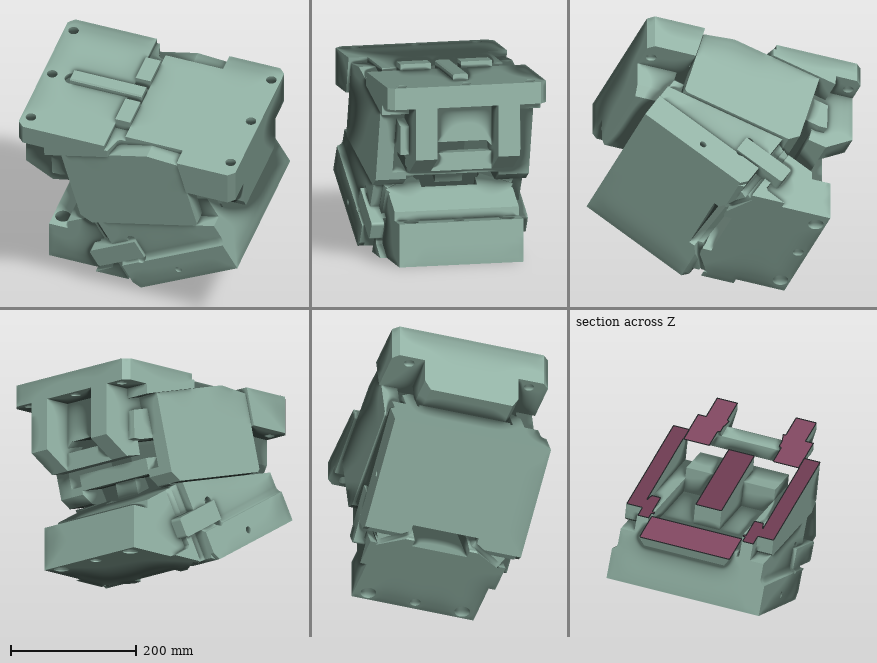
import cadquery as cq
import math

SLIDE_ANGLE = 15.0
SLIDE_ORIGIN = (72.5, 255.5)
DRIVE_ANGLE = 30.0
DRIVE_ORIGIN = (115.5, 107.0)


def tilted_point(origin, angle, along, across):
    """X, Z of a point given in a frame that is tilted about Y."""
    c = math.cos(math.radians(angle))
    s = math.sin(math.radians(angle))
    return (origin[0] + along * c - across * s, origin[1] + along * s + across * c)


def slide(along, across):
    return tilted_point(SLIDE_ORIGIN, SLIDE_ANGLE, along, across)


def drive(along, across):
    return tilted_point(DRIVE_ORIGIN, DRIVE_ANGLE, along, across)


def crossing(drive_along, slide_across):
    """Point that lies at the given drive distance and at the given height across the slide."""
    lean = math.radians(SLIDE_ANGLE)
    base_x, base_z = drive(drive_along, 0)
    base_across = (base_z - SLIDE_ORIGIN[1]) * math.cos(lean) - (base_x - SLIDE_ORIGIN[0]) * math.sin(lean)
    turn = math.radians(DRIVE_ANGLE - SLIDE_ANGLE)
    return drive(drive_along, (slide_across - base_across) / math.cos(turn))


def prism(points, y_from, y_to):
    """X-Z outline extruded from y_from to y_to."""
    plane = cq.Workplane("XZ", origin=(0, y_to, 0))
    return plane.polyline(points).close().extrude(y_to - y_from)


def centred(points, half_width):
    return prism(points, -half_width, half_width)


def both_sides(points, y_inner, y_outer):
    """The same outline on the -Y and +Y sides."""
    return prism(points, y_inner, y_outer).union(prism(points, -y_outer, -y_inner))


def y_cylinder(centre, radius, y_from, y_to):
    plane = cq.Workplane("XZ", origin=(centre[0], y_to, centre[1]))
    return plane.circle(radius).extrude(y_to - y_from)


def incline_plane(start, angle):
    """Workplane across an incline: local x is Y, local y is across the incline."""
    lean = math.radians(angle)
    forward = (math.cos(lean), 0, math.sin(lean))
    return cq.Workplane(cq.Plane(origin=(start[0], 0, start[1]), xDir=(0, 1, 0), normal=forward))


def wedge_section(points, across_from, across_to):
    """Outline of (Y, distance along the drive frame), extruded down the wedge face."""
    x, z = drive(0, across_from)
    lean = math.radians(DRIVE_ANGLE)
    down = (math.sin(lean), 0, -math.cos(lean))
    plane = cq.Plane(origin=(x, 0, z), xDir=(0, 1, 0), normal=down)
    return cq.Workplane(plane).polyline(points).close().extrude(across_from - across_to)


def mirrored(points):
    """Complete a +Y half outline with its mirror image."""
    return points + [(-y, height) for y, height in reversed(points)]


def side_range(side, y_inner, y_outer):
    """Rising Y range on one side of the middle plane."""
    return sorted((side * y_inner, side * y_outer))


HOLDER_LENGTH = 365.0
HALF_WIDTH = 130.0
PLATE_TOP = 299.5
PLATE_BOTTOM = PLATE_TOP - 60.0
NOSE_BOTTOM = PLATE_TOP - 35.0
CORNER_CHAMFER = 10.0
BOLT_DIAMETER = 16.7
FRONT_BOLT_X = 15.2
FRONT_BOLT_Y = 104.8
REAR_BOLT_X = 350.0
REAR_BOLT_Y = 100.0

JAW_INNER = 49.8
JAW_OUTER = 85.0
JAW_HEEL = 181.5
JAW_BACK = 45.7
BAR_TOP = 181.7
JAW_TIP = [(JAW_BACK, 154.0), (75.0, 161.0), (70.2, BAR_TOP)]

LIP_HALF_WIDTH = 99.0
LIP_TOP = -20.5
LIP_BOTTOM = -68.0
LIP_START = -31.2
LIP_FOOT_START = 49.0
LIP_FOOT_END = 62.0
NECK_START = -26.8
RAIL_END = 201.5
CHANNEL_TOP = -46.0
CHANNEL_DEPTH = 74.5
CHANNEL_START = -44.5
CHANNEL_HALF_WIDTH = 54.3
CHANNEL_CHAMFER = 13.5
SLOT_END = 81.8

POCKET_START = 152.5
POCKET_INNER_START = 161.3
POCKET_END = 245.3
POCKET_RADIUS = 7.5

LEG_TOP_X = 297.7
LEG_BOTTOM = 180.5
LEG_HALF_WIDTH = 78.0
LEG_CHAMFER_HEIGHT = 16.7
LEG_CHAMFER_WIDTH = 9.5

GROOVE_START = 147.0
GROOVE_END = 172.5
GROOVE_FLOOR = 290.3
KEY_TOP = 309.2
KEY_CHAMFER = 2.2
CROSS_KEY_INNER = 25.0
CROSS_KEY_OUTER = 75.0
LONG_KEY_START = 49.0
LONG_KEY_END = 170.5
LONG_KEY_HALF_WIDTH = 12.3

CHEEK_INNER = LIP_HALF_WIDTH
CHEEK_OUTER = 125.5
CHEEK_LENGTH = 200.0
CHEEK_BOTTOM = -144.5
CHEEK_PEAK = 150.0
CHEEK_DROP = 17.5
CHEEK_CORNER = 4.5
CHEEK_BEVEL_START = -128.5
CHEEK_BEVEL_END = 15.5
FINGER_LENGTH = 78.0
CORE_HALF_WIDTH = 76.0
CORE_TOP = -97.0
CORE_FRONT_BOTTOM = -122.5
CORE_STEP = 63.0
CORE_REAR_TOP = -139.7
FOOT_TOP = -116.0
FOOT_END = 208.0
HEEL_START = 167.2
HEEL_INNER = 80.0
HEEL_CHAMFER = 12.5
BODY_TOP = -147.0
BODY_HALF_WIDTH = 122.0
BODY_START = 22.3
BODY_END = 217.8
BODY_BOTTOM = -135.0
BODY_BEVEL = [(30.5, BODY_BOTTOM), (BODY_START, -121.5)]
WEAR_STRIP_BOTTOM = -128.2
SHOULDER_TOP = -75.0
SHOULDER_RADIUS = 10.8
SIDE_HOLE = (115.2, -115.0)
SIDE_HOLE_DIAMETER = 11.0
SIDE_HOLE_DEPTH = 29.7
RIB_HALF_WIDTH = 22.3
RIB_TOP = -61.5
RIB_BOTTOM = -163.5
RIB_START = 22.3
RIB_END = 163.5
RIB_RADIUS = 9.3

FOLLOWER_START = -20.0
FOLLOWER_END = 68.5
FOLLOWER_TOP = -46.0
FOLLOWER_BOTTOM = -79.0
FOLLOWER_INNER = 107.5
FOLLOWER_OUTER = 128.2
FOLLOWER_RADIUS = 4.5
RELIEF_ALONG = 61.0
RELIEF_RADIUS = 7.5
RELIEF_OFFSET = 1.5
RELIEF_FLOOR = 110.8

DRIVER_HALF_WIDTH = 102.0
DRIVER_FRONT = 44.5
DRIVER_LEDGE = 70.0
DRIVER_STEP_X = 75.5
DRIVER_STEP_TOP = 84.0
DRIVER_BACK = 204.8
DRIVER_BACK_HEIGHT = 4.0
WEDGE_SLOPE = 30.0
WEDGE_INNER = 49.8
SEAT_HALF_WIDTH = 45.7
SEAT_LEVEL = 12.0
WEAR_PLATE = 10.0
WEAR_PLATE_INSET = 2.5
WEAR_PLATE_BOTTOM = -122.5
CENTRE_CLEARANCE = 48.5
TOP_GAP = 2.0
HOOK_OUTER = 112.5
HOOK_TOP = -80.3
HOOK_START = -6.5
HOOK_END = 5.2
HOOK_FOOT = [(127.0, 0), (155.5, 17.0), (157.5, 22.5)]
HOOK_FOOT_END = 183.0
LEDGE_HOLE_X = 60.2
LEDGE_HOLE_Y = 78.5
LEDGE_BOLT_DIAMETER = 25.0
LEDGE_PIN_DIAMETER = 17.5

WEDGE_TANGENT = math.tan(math.radians(WEDGE_SLOPE))
PLATE_OUT = WEAR_PLATE * math.sin(math.radians(WEDGE_SLOPE))
PLATE_UP = WEAR_PLATE * math.cos(math.radians(WEDGE_SLOPE))


def wedge_point(y, lift):
    """Point of the wedge face at width y, lifted square to the face by a number of wear plates."""
    return (y + lift * PLATE_OUT, (DRIVER_HALF_WIDTH - y) * WEDGE_TANGENT + lift * PLATE_UP)


def holder_plate():
    side = [(0, PLATE_BOTTOM), (HOLDER_LENGTH, PLATE_BOTTOM), (HOLDER_LENGTH, PLATE_TOP), (0, PLATE_TOP)]
    plate = centred(side, HALF_WIDTH).edges("|Z").chamfer(CORNER_CHAMFER)
    nose = [(0, NOSE_BOTTOM), (JAW_BACK, NOSE_BOTTOM), slide(NECK_START, 0), (JAW_BACK, 0), (0, 0)]
    return plate.cut(centred(nose, HALF_WIDTH))


def holder_rail():
    rail = [slide(NECK_START, 0), slide(LIP_START, LIP_TOP), (LIP_FOOT_START, BAR_TOP),
            (LIP_FOOT_END, BAR_TOP), slide(RAIL_END, LIP_BOTTOM), slide(RAIL_END, LIP_TOP),
            slide(SLOT_END, 0)]
    return centred(rail, LIP_HALF_WIDTH)


def channel_cut():
    """Inclined channel along the middle of the rail, open below."""
    half = [(CHANNEL_HALF_WIDTH, CHANNEL_TOP - CHANNEL_DEPTH),
            (CHANNEL_HALF_WIDTH, CHANNEL_TOP - CHANNEL_CHAMFER),
            (CHANNEL_HALF_WIDTH - CHANNEL_CHAMFER, CHANNEL_TOP)]
    plane = incline_plane(slide(CHANNEL_START, 0), SLIDE_ANGLE)
    return plane.polyline(mirrored(half)).close().extrude(RAIL_END - CHANNEL_START)


def holder_jaws():
    """Two jaws below the nose, joined at their tips by a cross bar."""
    jaw = [(0, NOSE_BOTTOM), (0, JAW_HEEL)] + JAW_TIP + [slide(0, CHANNEL_TOP), slide(0, LIP_TOP),
                                                         (JAW_BACK, NOSE_BOTTOM)]
    bar = JAW_TIP + [(JAW_BACK, BAR_TOP)]
    return both_sides(jaw, JAW_INNER, JAW_OUTER).union(centred(bar, JAW_INNER))


def front_wall():
    wall = [(JAW_BACK, NOSE_BOTTOM), (JAW_BACK, BAR_TOP), (LIP_FOOT_END, BAR_TOP), slide(0, LIP_TOP)]
    return centred(wall, JAW_INNER)


def holder_leg():
    lean = (PLATE_BOTTOM - LEG_BOTTOM) * math.tan(math.radians(SLIDE_ANGLE))
    leg = centred([(LEG_TOP_X, PLATE_BOTTOM), (LEG_TOP_X + lean, LEG_BOTTOM),
                   (HOLDER_LENGTH, LEG_BOTTOM), (HOLDER_LENGTH, PLATE_BOTTOM)], LEG_HALF_WIDTH)
    chamfered_half = [(LEG_HALF_WIDTH, PLATE_BOTTOM), (LEG_HALF_WIDTH, LEG_BOTTOM + LEG_CHAMFER_HEIGHT),
                      (LEG_HALF_WIDTH - LEG_CHAMFER_WIDTH, LEG_BOTTOM)]
    section = cq.Workplane("YZ").polyline(mirrored(chamfered_half)).close().extrude(HOLDER_LENGTH)
    return leg.intersect(section)


def cheek_pocket(side):
    """Room for a cheek: an inclined cut from below and a pocket through the top of the plate."""
    below = [slide(NECK_START, 0), slide(RAIL_END, 0), slide(RAIL_END, CHEEK_BOTTOM), (JAW_BACK, 0)]
    cut = prism(below, *side_range(side, CHEEK_INNER, HALF_WIDTH))
    inner = side * CHEEK_INNER
    outer = side * HALF_WIDTH
    plan = [(POCKET_START, outer), (POCKET_INNER_START, inner), (POCKET_END, inner), (POCKET_END, outer)]
    pocket = cq.Workplane("XY").polyline(plan).close().extrude(PLATE_TOP)
    inner_corner = cq.selectors.NearestToPointSelector((POCKET_INNER_START, inner, PLATE_TOP / 2))
    return cut.union(pocket.edges("|Z").edges(inner_corner).fillet(POCKET_RADIUS))


def finger_slots():
    slot = [slide(NECK_START, 0), slide(SLOT_END, 0), slide(SLOT_END, LIP_TOP), slide(LIP_START, LIP_TOP),
            (JAW_BACK, PLATE_BOTTOM)]
    return both_sides(slot, JAW_OUTER, CHEEK_INNER)


def key_block(x_from, x_to):
    return [(x_from, GROOVE_FLOOR), (x_from, KEY_TOP), (x_to, KEY_TOP), (x_to, GROOVE_FLOOR)]


def key_groove():
    """Groove across the plate, and the round end of the long key's seat."""
    seat_end = cq.Workplane("XY", origin=(LONG_KEY_START, 0, GROOVE_FLOOR)).circle(LONG_KEY_HALF_WIDTH)
    groove = centred(key_block(GROOVE_START, GROOVE_END), HALF_WIDTH)
    return groove.union(seat_end.extrude(PLATE_TOP - GROOVE_FLOOR))


def holder_keys():
    cross_keys = both_sides(key_block(GROOVE_START, GROOVE_END), CROSS_KEY_INNER, CROSS_KEY_OUTER)
    long_key = centred(key_block(LONG_KEY_START, LONG_KEY_END), LONG_KEY_HALF_WIDTH)
    return cross_keys.union(long_key.faces(">Z").edges("|X").chamfer(KEY_CHAMFER))


def plate_holes():
    places = [(x, row * y) for x, y in ((FRONT_BOLT_X, FRONT_BOLT_Y), (REAR_BOLT_X, REAR_BOLT_Y))
              for row in (-1, 0, 1)]
    plane = cq.Workplane("XY", origin=(0, 0, PLATE_BOTTOM)).pushPoints(places)
    return plane.circle(BOLT_DIAMETER / 2).extrude(PLATE_TOP - PLATE_BOTTOM)


def make_holder():
    rail = holder_rail().union(front_wall()).cut(channel_cut())
    body = holder_plate().union(rail).union(holder_jaws()).union(holder_leg())
    for side in (-1, 1):
        body = body.cut(cheek_pocket(side))
    body = body.cut(finger_slots()).cut(key_groove())
    return body.union(holder_keys()).cut(plate_holes())


def slider_cheeks():
    """Side cheeks, each with a finger that lies on top of the holder's lip."""
    cheek = [slide(0, 0), slide(0, CHEEK_BEVEL_START), slide(CHEEK_BEVEL_END, CHEEK_BOTTOM),
             slide(CHEEK_LENGTH - CHEEK_CORNER, CHEEK_BOTTOM),
             slide(CHEEK_LENGTH, CHEEK_BOTTOM + CHEEK_CORNER),
             slide(CHEEK_LENGTH, -CHEEK_DROP), slide(CHEEK_PEAK, 0)]
    finger = [slide(0, 0), slide(0, LIP_TOP), slide(FINGER_LENGTH, LIP_TOP), slide(FINGER_LENGTH, 0)]
    return both_sides(cheek, CHEEK_INNER, CHEEK_OUTER).union(both_sides(finger, JAW_OUTER, CHEEK_INNER))


def slider_feet():
    """Blocks that tie the cheeks to the body."""
    foot = [slide(0, FOOT_TOP), slide(0, CHEEK_BEVEL_START), slide(CHEEK_BEVEL_END, CHEEK_BOTTOM),
            crossing(BODY_START, BODY_TOP), slide(FOOT_END, BODY_TOP), slide(FOOT_END, FOOT_TOP)]
    return both_sides(foot, CORE_HALF_WIDTH, CHEEK_INNER)


def slider_core():
    """Middle block, tall at the front, low behind so that the holder's leg passes over it."""
    core = [slide(0, CORE_TOP), slide(0, CORE_FRONT_BOTTOM), crossing(CENTRE_CLEARANCE, CORE_FRONT_BOTTOM),
            crossing(CENTRE_CLEARANCE, BODY_TOP), crossing(BODY_END, BODY_TOP),
            crossing(BODY_END, CORE_REAR_TOP),
            slide(CORE_STEP, CORE_REAR_TOP), slide(CORE_STEP, CORE_TOP)]
    return centred(core, CORE_HALF_WIDTH)


def slider_heels():
    """Rear blocks on both sides of the holder's leg, chamfered along their outer top edges."""
    heel = [slide(HEEL_START, CORE_TOP), slide(HEEL_START, BODY_TOP), crossing(BODY_END, BODY_TOP),
            crossing(BODY_END, CORE_TOP)]
    section = [(CHEEK_INNER, BODY_TOP), (CHEEK_INNER, CORE_TOP - HEEL_CHAMFER),
               (CHEEK_INNER - HEEL_CHAMFER, CORE_TOP)]
    plane = incline_plane(slide(0, 0), SLIDE_ANGLE)
    envelope = plane.polyline(mirrored(section)).close().extrude(HOLDER_LENGTH)
    return both_sides(heel, HEEL_INNER, CHEEK_INNER).intersect(envelope)


def slider_rib():
    """Middle rib with rounded top edges, running in the holder's channel."""
    shoulder = RIB_TOP - RIB_RADIUS
    flat = RIB_HALF_WIDTH - RIB_RADIUS
    section = incline_plane(slide(RIB_START, 0), SLIDE_ANGLE).moveTo(-RIB_HALF_WIDTH, RIB_BOTTOM)
    section = section.lineTo(-RIB_HALF_WIDTH, shoulder).radiusArc((-flat, RIB_TOP), RIB_RADIUS)
    section = section.lineTo(flat, RIB_TOP).radiusArc((RIB_HALF_WIDTH, shoulder), RIB_RADIUS)
    return section.lineTo(RIB_HALF_WIDTH, RIB_BOTTOM).close().extrude(RIB_END - RIB_START)


def slider_body():
    """Main block, with wider lower flanks that meet the sides in coves."""
    bevel = [drive(*point) for point in BODY_BEVEL]
    outline = [drive(0, 0), crossing(BODY_START, BODY_TOP), crossing(BODY_END, BODY_TOP),
               drive(BODY_END, BODY_BOTTOM), bevel[0],
               drive(BODY_START, WEAR_STRIP_BOTTOM), drive(0, WEAR_STRIP_BOTTOM)]
    flank = [drive(BODY_START, SHOULDER_TOP), drive(BODY_END, SHOULDER_TOP),
             drive(BODY_END, BODY_BOTTOM)] + bevel
    cove_y = BODY_HALF_WIDTH + SHOULDER_RADIUS
    coves = incline_plane(drive(0, SHOULDER_TOP), DRIVE_ANGLE).pushPoints([(-cove_y, 0), (cove_y, 0)])
    body = centred(outline, BODY_HALF_WIDTH).union(centred(flank, HALF_WIDTH))
    return body.cut(coves.circle(SHOULDER_RADIUS).extrude(BODY_END))


def wedge_clearance():
    """Space under the slider: flat at the sides, with wear plates that rest on the driver's."""
    upper_start = DRIVER_HALF_WIDTH - 2 * WEAR_PLATE_INSET
    tip = wedge_point(upper_start, 2)
    half = [(HALF_WIDTH, -DRIVER_HALF_WIDTH), (HALF_WIDTH, BODY_START), (tip[0], BODY_START), tip,
            wedge_point(upper_start, 1), wedge_point(WEDGE_INNER, 1),
            (WEDGE_INNER + PLATE_OUT, CENTRE_CLEARANCE)]
    return wedge_section(mirrored(half), TOP_GAP, 1.5 * BODY_BOTTOM)


def follower(side):
    ends = [drive(FOLLOWER_START, FOLLOWER_TOP), drive(FOLLOWER_END, FOLLOWER_TOP),
            drive(FOLLOWER_END, FOLLOWER_BOTTOM), drive(FOLLOWER_START, FOLLOWER_BOTTOM)]
    bar = prism(ends, *side_range(side, FOLLOWER_INNER, FOLLOWER_OUTER))
    return bar.edges("|Y").edges("<X or <Z").fillet(FOLLOWER_RADIUS)


def follower_reliefs(side):
    """Round corner reliefs at the inner end of a follower's seat."""
    depth = side_range(side, RELIEF_FLOOR, HALF_WIDTH)
    upper = y_cylinder(drive(RELIEF_ALONG, FOLLOWER_TOP + RELIEF_OFFSET), RELIEF_RADIUS, *depth)
    lower = y_cylinder(drive(RELIEF_ALONG, FOLLOWER_BOTTOM - RELIEF_OFFSET), RELIEF_RADIUS, *depth)
    return upper.union(lower)


def side_hole(side):
    depth = side_range(side, HALF_WIDTH - SIDE_HOLE_DEPTH, HALF_WIDTH)
    return y_cylinder(drive(*SIDE_HOLE), SIDE_HOLE_DIAMETER / 2, *depth)


def make_slider():
    body = slider_core().union(slider_rib()).union(slider_feet()).union(slider_body()).union(slider_heels())
    body = body.cut(wedge_clearance()).union(slider_cheeks())
    for side in (-1, 1):
        body = body.cut(follower_reliefs(side)).union(follower(side)).cut(side_hole(side))
    return body


def driver_block():
    outline = [(DRIVER_FRONT, 0), (DRIVER_FRONT, DRIVER_LEDGE), (DRIVER_STEP_X, DRIVER_LEDGE),
               (DRIVER_STEP_X, DRIVER_STEP_TOP), drive(0, 0), drive(CENTRE_CLEARANCE, 0), drive(26.0, -126.5),
               (DRIVER_BACK, DRIVER_BACK_HEIGHT), (DRIVER_BACK, 0)]
    wedge_top = wedge_point(WEDGE_INNER, 0)
    section = [(DRIVER_HALF_WIDTH, -DRIVER_BACK), (DRIVER_HALF_WIDTH, 0), wedge_top,
               (SEAT_HALF_WIDTH, wedge_top[1]), (SEAT_HALF_WIDTH, SEAT_LEVEL)]
    envelope = wedge_section(mirrored(section), DRIVER_BACK, -DRIVER_BACK)
    return centred(outline, DRIVER_HALF_WIDTH).intersect(envelope)


def wear_plate(side):
    start = DRIVER_HALF_WIDTH - WEAR_PLATE_INSET
    outline = [wedge_point(start, 0), wedge_point(start, 1),
               wedge_point(WEDGE_INNER, 1), wedge_point(WEDGE_INNER, 0)]
    return wedge_section([(side * y, height) for y, height in outline], 0, WEAR_PLATE_BOTTOM)


def driver_hooks():
    """Side lips under the followers, with thinner webs behind the followers."""
    hook = HOOK_FOOT + [drive(HOOK_START, HOOK_TOP), drive(HOOK_END, HOOK_TOP), (HOOK_FOOT_END, 0)]
    web = [drive(HOOK_START, FOLLOWER_TOP), drive(HOOK_END, FOLLOWER_TOP),
           drive(HOOK_END, HOOK_TOP), drive(HOOK_START, HOOK_TOP)]
    hooks = both_sides(hook, DRIVER_HALF_WIDTH, HOOK_OUTER)
    return hooks.union(both_sides(web, DRIVER_HALF_WIDTH, FOLLOWER_INNER))


def ledge_holes():
    bolts = cq.Workplane("XY").pushPoints([(LEDGE_HOLE_X, side * LEDGE_HOLE_Y) for side in (-1, 1)])
    pin = cq.Workplane("XY").center(LEDGE_HOLE_X, 0).circle(LEDGE_PIN_DIAMETER / 2).extrude(DRIVER_LEDGE)
    return bolts.circle(LEDGE_BOLT_DIAMETER / 2).extrude(DRIVER_LEDGE).union(pin)


def make_driver():
    body = driver_block().union(driver_hooks())
    for side in (-1, 1):
        body = body.union(wear_plate(side))
    return body.cut(ledge_holes())


holder = make_holder()
slider = make_slider()
driver = make_driver()
result = cq.Compound.makeCompound([holder.val(), slider.val(), driver.val()])